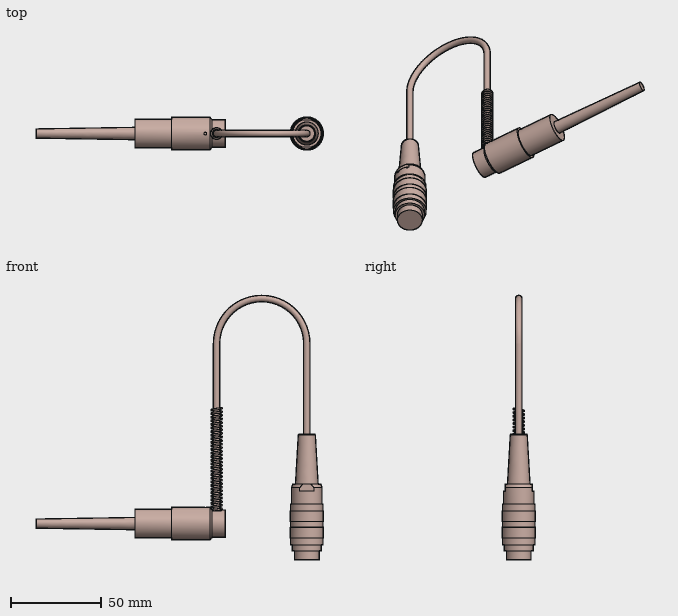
import cadquery as cq


TIP_DIAMETER = 5.3
PROBE_ROOT_DIAMETER = 7.0

HOUSING_START = 54.9
GRIP_START = 75.3
GRIP_END = 96.5
REAR_START = 97.8
HOUSING_END = 105.1
BARREL_DIAMETER = 16.0
GRIP_DIAMETER = 18.2
REAR_DIAMETER = 15.3
PROBE_SOCKET_DEPTH = 4.8
SET_SCREW_HOLE_DIAMETER = 1.48
SET_SCREW_HOLE_DEPTH = 2.4
SET_SCREW_X = 94.0

CABLE_DIAMETER = 3.7
HOUSING_LEG_X = 100.2
CONNECTOR_X = 150.3
BEND_Z = 99.9
CABLE_SOCKET_DEPTH = 4.8

SPRING_DIAMETER = 6.4
SPRING_WIRE_DIAMETER = 1.0
SPRING_PITCH = 2.0
SPRING_TURNS = 29
SPRING_SEAT_Z = 5.7
SPRING_SEAT_DIAMETER = 6.5

BOOT_TOP_Z = 49.8
BOOT_TOP_DIAMETER = 9.5
BOOT_ROOT_DIAMETER = 12.8
BOOT_TOP_CHAMFER = 0.5

NUT_TOP_Z = 21.9
NUT_BOTTOM_Z = 10.8
NUT_DIAMETER = 17.0
NUT_CHAMFER_WIDTH = 0.6
NUT_CHAMFER_HEIGHT = 1.9
FLAT_BOTTOM_Z = 18.0
WIDTH_ACROSS_FLATS = 15.2
RING_DIAMETER = 18.5
BODY_DIAMETER = 18.2
UPPER_RING_TOP_Z = 7.0
UPPER_RING_BOTTOM_Z = 1.3
LOWER_RING_TOP_Z = -2.0
LOWER_RING_BEVEL_HEIGHT = 0.3
LOWER_RING_BOTTOM_Z = -8.0
BODY_BOTTOM_Z = -11.8
SHOULDER_BOTTOM_Z = -15.2
SHOULDER_DIAMETER = 16.3
PLUG_BOTTOM_Z = -20.1
PLUG_DIAMETER = 13.9

SPRING_START_Z = SPRING_SEAT_Z + SPRING_WIRE_DIAMETER / 2
CABLE_HOUSING_END_Z = SPRING_SEAT_Z - CABLE_SOCKET_DEPTH
PROBE_END = HOUSING_START + PROBE_SOCKET_DEPTH


def revolve_about_x(outline):
    """Revolve a closed outline of (x, radius) points about the X axis."""
    return cq.Workplane("XY").polyline(outline).close().revolve(360, (0, 0, 0), (1, 0, 0))


def upright_cylinder(x, bottom, top, diameter):
    return cq.Workplane("XY", origin=(x, 0, bottom)).circle(diameter / 2).extrude(top - bottom)


def make_probe():
    return revolve_about_x([
        (0, 0),
        (0, TIP_DIAMETER / 2),
        (HOUSING_START, PROBE_ROOT_DIAMETER / 2),
        (PROBE_END, PROBE_ROOT_DIAMETER / 2),
        (PROBE_END, 0),
    ])


def make_housing(probe, cable):
    body = revolve_about_x([
        (HOUSING_START, 0),
        (HOUSING_START, BARREL_DIAMETER / 2),
        (GRIP_START, BARREL_DIAMETER / 2),
        (GRIP_START, GRIP_DIAMETER / 2),
        (GRIP_END, GRIP_DIAMETER / 2),
        (REAR_START, REAR_DIAMETER / 2),
        (HOUSING_END, REAR_DIAMETER / 2),
        (HOUSING_END, 0),
    ])
    grip_top_z = GRIP_DIAMETER / 2
    set_screw_hole = upright_cylinder(
        SET_SCREW_X, grip_top_z - SET_SCREW_HOLE_DEPTH, grip_top_z, SET_SCREW_HOLE_DIAMETER
    )
    spring_seat = upright_cylinder(HOUSING_LEG_X, SPRING_SEAT_Z, grip_top_z, SPRING_SEAT_DIAMETER)
    return body.cut(set_screw_hole).cut(spring_seat).cut(probe).cut(cable)


def make_cable():
    bend_radius = (CONNECTOR_X - HOUSING_LEG_X) / 2
    path = (
        cq.Workplane("XZ")
        .moveTo(HOUSING_LEG_X, CABLE_HOUSING_END_Z)
        .lineTo(HOUSING_LEG_X, BEND_Z)
        .threePointArc((HOUSING_LEG_X + bend_radius, BEND_Z + bend_radius), (CONNECTOR_X, BEND_Z))
        .lineTo(CONNECTOR_X, BOOT_TOP_Z - CABLE_SOCKET_DEPTH)
    )
    section = cq.Workplane("XY", origin=(HOUSING_LEG_X, 0, CABLE_HOUSING_END_Z))
    return section.circle(CABLE_DIAMETER / 2).sweep(path)


def make_spring():
    coil_radius = (SPRING_DIAMETER - SPRING_WIRE_DIAMETER) / 2
    start = cq.Vector(HOUSING_LEG_X, 0, SPRING_START_Z)
    helix = cq.Wire.makeHelix(SPRING_PITCH, SPRING_PITCH * SPRING_TURNS, coil_radius, start)
    wire_section = cq.Workplane("XZ", origin=(HOUSING_LEG_X + coil_radius, 0, SPRING_START_Z))
    return wire_section.circle(SPRING_WIRE_DIAMETER / 2).sweep(cq.Workplane(helix), isFrenet=True)


def make_boot(cable):
    boot = (
        cq.Workplane("XY", origin=(CONNECTOR_X, 0, NUT_TOP_Z))
        .circle(BOOT_ROOT_DIAMETER / 2)
        .workplane(offset=BOOT_TOP_Z - NUT_TOP_Z)
        .circle(BOOT_TOP_DIAMETER / 2)
        .loft()
        .faces(">Z")
        .chamfer(BOOT_TOP_CHAMFER)
    )
    return boot.cut(cable)


def make_connector():
    outline = [
        (0, NUT_TOP_Z),
        (NUT_DIAMETER / 2 - NUT_CHAMFER_WIDTH, NUT_TOP_Z),
        (NUT_DIAMETER / 2, NUT_TOP_Z - NUT_CHAMFER_HEIGHT),
        (NUT_DIAMETER / 2, NUT_BOTTOM_Z),
        (BODY_DIAMETER / 2, NUT_BOTTOM_Z),
        (BODY_DIAMETER / 2, UPPER_RING_TOP_Z),
        (RING_DIAMETER / 2, UPPER_RING_TOP_Z),
        (RING_DIAMETER / 2, UPPER_RING_BOTTOM_Z),
        (BODY_DIAMETER / 2, UPPER_RING_BOTTOM_Z),
        (BODY_DIAMETER / 2, LOWER_RING_TOP_Z + LOWER_RING_BEVEL_HEIGHT),
        (RING_DIAMETER / 2, LOWER_RING_TOP_Z),
        (RING_DIAMETER / 2, LOWER_RING_BOTTOM_Z),
        (BODY_DIAMETER / 2, LOWER_RING_BOTTOM_Z),
        (BODY_DIAMETER / 2, BODY_BOTTOM_Z),
        (SHOULDER_DIAMETER / 2, BODY_BOTTOM_Z),
        (SHOULDER_DIAMETER / 2, SHOULDER_BOTTOM_Z),
        (PLUG_DIAMETER / 2, SHOULDER_BOTTOM_Z),
        (PLUG_DIAMETER / 2, PLUG_BOTTOM_Z),
        (0, PLUG_BOTTOM_Z),
    ]
    turned = (
        cq.Workplane("XZ", origin=(CONNECTOR_X, 0, 0))
        .polyline(outline)
        .close()
        .revolve(360, (0, 0, 0), (0, 1, 0))
    )
    return turned.cut(make_flats())


def make_flats():
    """Blocks that leave the two wrench flats of the nut, facing -Y and +Y."""
    cutter_depth = NUT_DIAMETER
    cutter_y = (WIDTH_ACROSS_FLATS + cutter_depth) / 2
    return (
        cq.Workplane("XY", origin=(CONNECTOR_X, 0, FLAT_BOTTOM_Z))
        .pushPoints([(0, -cutter_y), (0, cutter_y)])
        .rect(NUT_DIAMETER, cutter_depth)
        .extrude(NUT_TOP_Z - FLAT_BOTTOM_Z)
    )


probe = make_probe()
cable = make_cable()
housing = make_housing(probe, cable)
spring = make_spring()
boot = make_boot(cable)
connector = make_connector()

result = cq.Compound.makeCompound([
    probe.val(),
    housing.solids().val(),
    cable.val(),
    spring.val(),
    boot.solids().val(),
    connector.solids().val(),
])